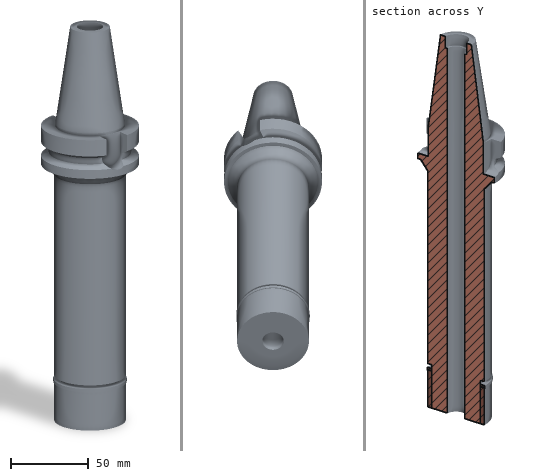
import cadquery as cq

total_height = 265.5
flange_top_z = 198.8
gauge_z = 200.5

taper_top_radius = 12.7
taper_base_radius = 22.3

flange_diameter = 63.0
flange_radius = flange_diameter / 2
groove_radius = 26.5
groove_start_depth = 11.0
groove_neck_depth = 13.5
groove_neck_end_depth = 17.8
groove_end_depth = 20.2
flange_end_depth = 26.0
flange_cone_end_depth = 32.5
flange_cone_radius = 29.0

slot_width = 16.2
slot_floor_x = 22.5
slot_depth = 21.8

body_radius = 23.0
body_bottom_z = 30.5
spigot_radius = 20.0
ring_radius = 23.5
ring_top_z = 28.0
nut_top_z = 26.0
nut_radius = 23.0

bore_radius = 7.0
counterbore_radius = 8.5
counterbore_depth = 8.0


def make_turned_holder():
    """Taper, grooved flange, body and nose spigot as one revolved profile."""

    def below_flange_top(depth):
        return flange_top_z - depth

    profile = [
        (0, 0),
        (spigot_radius, 0),
        (spigot_radius, body_bottom_z),
        (body_radius, body_bottom_z),
        (body_radius, below_flange_top(flange_cone_end_depth)),
        (flange_cone_radius, below_flange_top(flange_end_depth)),
        (flange_radius, below_flange_top(flange_end_depth)),
        (flange_radius, below_flange_top(groove_end_depth)),
        (groove_radius, below_flange_top(groove_neck_end_depth)),
        (groove_radius, below_flange_top(groove_neck_depth)),
        (flange_radius, below_flange_top(groove_start_depth)),
        (flange_radius, flange_top_z),
        (taper_base_radius, flange_top_z),
        (taper_base_radius, gauge_z),
        (taper_top_radius, total_height),
        (0, total_height),
    ]
    return cq.Workplane("XZ").polyline(profile).close().revolve(360, (0, 0), (0, 1))


def make_drive_slot(side):
    """Round-bottomed slot cutter, open to the flange top; side is -1 or +1."""
    half_width = slot_width / 2
    arc_center_z = flange_top_z - slot_depth + half_width
    cut_length = flange_radius - slot_floor_x
    cutter = (
        cq.Workplane("YZ")
        .moveTo(-half_width, flange_top_z)
        .lineTo(-half_width, arc_center_z)
        .threePointArc((0, flange_top_z - slot_depth), (half_width, arc_center_z))
        .lineTo(half_width, flange_top_z)
        .close()
        .extrude(side * cut_length)
    )
    return cutter.translate((side * slot_floor_x, 0, 0))


def make_bore():
    """Through bore with a wider mouth at the small end of the taper."""
    through = cq.Workplane("XY").circle(bore_radius).extrude(total_height)
    mouth = (
        cq.Workplane("XY", origin=(0, 0, total_height - counterbore_depth))
        .circle(counterbore_radius)
        .extrude(counterbore_depth)
    )
    return through.union(mouth)


def make_holder():
    holder = make_turned_holder()
    for side in (-1, 1):
        holder = holder.cut(make_drive_slot(side))
    return holder.cut(make_bore())


def make_collar(outer_radius, bottom_z, top_z):
    """Plain annular body that fits around the nose spigot."""
    return (
        cq.Workplane("XY", origin=(0, 0, bottom_z))
        .circle(outer_radius)
        .circle(spigot_radius)
        .extrude(top_z - bottom_z)
    )


def make_ring():
    """Thin ring standing slightly proud above the nut."""
    return make_collar(ring_radius, nut_top_z, ring_top_z)


def make_nut():
    """Clamping nut around the lower end of the spigot."""
    return make_collar(nut_radius, 0, nut_top_z)


holder = make_holder()
ring = make_ring()
nut = make_nut()

result = cq.Compound.makeCompound([holder.val(), ring.val(), nut.val()])